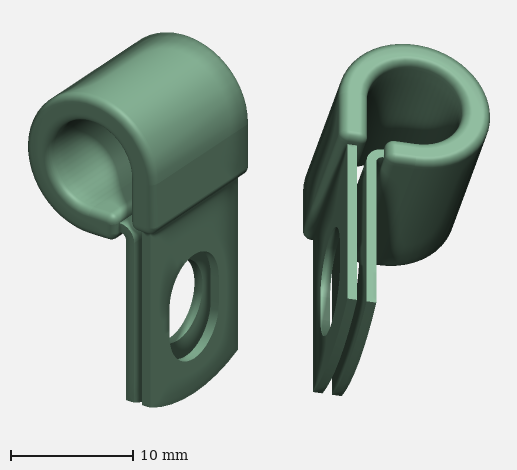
import cadquery as cq
import math


strap_thickness = 0.81
strap_width = 12.65
strap_inner_radius = 4.76
strap_outer_radius = strap_inner_radius + strap_thickness
bend_inner_radius = 0.6
bend_outer_radius = bend_inner_radius + strap_thickness
tab_gap = 0.8

cushion_length = 14.29
cushion_outer_radius = 6.365
cushion_inner_radius = 3.97
cushion_edge_radius = 0.76
upright_leg_length = 4.73
foot_leg_length = 2.5

overall_height = 28.51
tab_bottom = cushion_outer_radius - overall_height
tab_end_radius = 15.875
hole_diameter = 7.14
hole_height = -14.19
slot_length = 9.53

diagonal = math.sqrt(0.5)


def y_extrusion(sketch, width):
    """Extrude an XZ sketch symmetrically about the Y = 0 plane."""
    return sketch.extrude(width / 2, both=True)


def make_cushion():
    """Three-quarter ring with two straight legs, edges still sharp."""
    outer = cushion_outer_radius
    inner = cushion_inner_radius
    profile = (
        cq.Workplane("XZ")
        .moveTo(outer, -upright_leg_length)
        .lineTo(outer, 0)
        .threePointArc((-outer * diagonal, outer * diagonal), (0, -outer))
        .lineTo(foot_leg_length, -outer)
        .lineTo(foot_leg_length, -inner)
        .lineTo(0, -inner)
        .threePointArc((-inner * diagonal, inner * diagonal), (inner, 0))
        .lineTo(inner, -upright_leg_length)
        .close()
    )
    return y_extrusion(profile, cushion_length)


def round_cushion(body):
    """Round both end outlines and the two leg tips."""
    tip_reach = cushion_edge_radius / 2
    upright_tip = cq.selectors.BoxSelector(
        (cushion_inner_radius - tip_reach, -cushion_length, -upright_leg_length - tip_reach),
        (cushion_outer_radius + tip_reach, cushion_length, -upright_leg_length + tip_reach),
    )
    foot_tip = cq.selectors.BoxSelector(
        (foot_leg_length - tip_reach, -cushion_length, -cushion_outer_radius - tip_reach),
        (foot_leg_length + tip_reach, cushion_length, -cushion_inner_radius + tip_reach),
    )
    tips = body.edges("|Y").edges(upright_tip + foot_tip)
    return body.faces("|Y").edges().add(tips).fillet(cushion_edge_radius)


def make_straight_tab():
    """Flat tab running straight down out of the upright leg."""
    return (
        cq.Workplane("XY")
        .box(strap_thickness, strap_width, -tab_bottom, centered=(False, True, False))
        .translate((strap_inner_radius, 0, tab_bottom))
    )


def make_bent_tab():
    """Tab leaving the foot leg along +X and bending down beside the straight tab."""
    outer_face = strap_inner_radius - tab_gap
    inner_face = outer_face - strap_thickness
    bend_x = outer_face - bend_outer_radius
    bend_z = -strap_inner_radius - bend_outer_radius
    outer_mid = bend_outer_radius * diagonal
    inner_mid = bend_inner_radius * diagonal
    profile = (
        cq.Workplane("XZ")
        .moveTo(0, -strap_inner_radius)
        .lineTo(bend_x, -strap_inner_radius)
        .threePointArc((bend_x + outer_mid, bend_z + outer_mid), (outer_face, bend_z))
        .lineTo(outer_face, tab_bottom)
        .lineTo(inner_face, tab_bottom)
        .lineTo(inner_face, bend_z)
        .threePointArc((bend_x + inner_mid, bend_z + inner_mid), (bend_x, -strap_outer_radius))
        .lineTo(0, -strap_outer_radius)
        .close()
    )
    return y_extrusion(profile, strap_width)


def make_tab_envelope():
    """Block that trims the lower ends of both tabs to a shallow arc."""
    half_width = strap_width / 2
    arc_rise = tab_end_radius - math.sqrt(tab_end_radius**2 - half_width**2)
    return (
        cq.Workplane("YZ")
        .moveTo(-half_width, 0)
        .lineTo(-half_width, tab_bottom + arc_rise)
        .threePointArc((0, tab_bottom), (half_width, tab_bottom + arc_rise))
        .lineTo(half_width, 0)
        .close()
        .extrude(cushion_outer_radius)
    )


def make_bolt_hole():
    """Round bolt hole along X, for the bent tab."""
    return (
        cq.Workplane("YZ")
        .center(0, hole_height)
        .circle(hole_diameter / 2)
        .extrude(cushion_outer_radius)
    )


def make_bolt_slot():
    """Vertical slot along X, for the straight tab, concentric with the bolt hole."""
    return (
        cq.Workplane("YZ")
        .center(0, hole_height)
        .slot2D(slot_length, hole_diameter, 90)
        .extrude(cushion_outer_radius)
    )


straight_tab = make_straight_tab().cut(make_bolt_slot())
bent_tab = make_bent_tab().cut(make_bolt_hole())
tabs = straight_tab.union(bent_tab).intersect(make_tab_envelope())
result = round_cushion(make_cushion()).union(tabs)